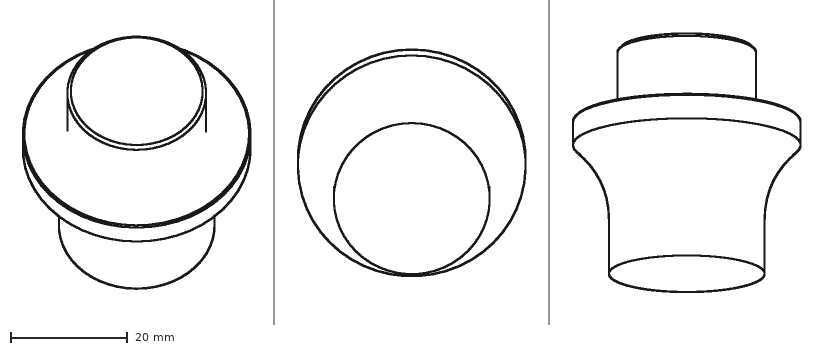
import cadquery as cq
import math

total_height = 39.6
base_height = 9.7
flange_top = 27.05

base_diameter = 26.7
rim_diameter = 39.0
pin_diameter = 23.75
base_radius = base_diameter / 2
rim_radius = rim_diameter / 2
pin_radius = pin_diameter / 2

rim_chamfer = 0.28
pin_chamfer = 0.6
root_fillet = 0.28

flare_radius = 16.4
cone_angle = math.radians(45)


def flare_point(angle):
    """Radius and height on the flare after turning by angle from vertical."""
    return (
        base_radius + flare_radius * (1 - math.cos(angle)),
        base_height + flare_radius * math.sin(angle),
    )


cone_start_radius, cone_start_height = flare_point(cone_angle)
rim_bottom = cone_start_height + (rim_radius - cone_start_radius) / math.tan(cone_angle)

fillet_mid_offset = root_fillet * (1 - math.sqrt(0.5))

profile = (
    cq.Workplane("XZ")
    .lineTo(base_radius, 0)
    .lineTo(base_radius, base_height)
    .threePointArc(flare_point(cone_angle / 2), (cone_start_radius, cone_start_height))
    .lineTo(rim_radius, rim_bottom)
    .lineTo(rim_radius, flange_top - rim_chamfer)
    .lineTo(rim_radius - rim_chamfer, flange_top)
    .lineTo(pin_radius + root_fillet, flange_top)
    .threePointArc(
        (pin_radius + fillet_mid_offset, flange_top + fillet_mid_offset),
        (pin_radius, flange_top + root_fillet),
    )
    .lineTo(pin_radius, total_height - pin_chamfer)
    .lineTo(pin_radius - pin_chamfer, total_height)
    .lineTo(0, total_height)
    .close()
)

result = profile.revolve(360, (0, 0, 0), (0, 1, 0))